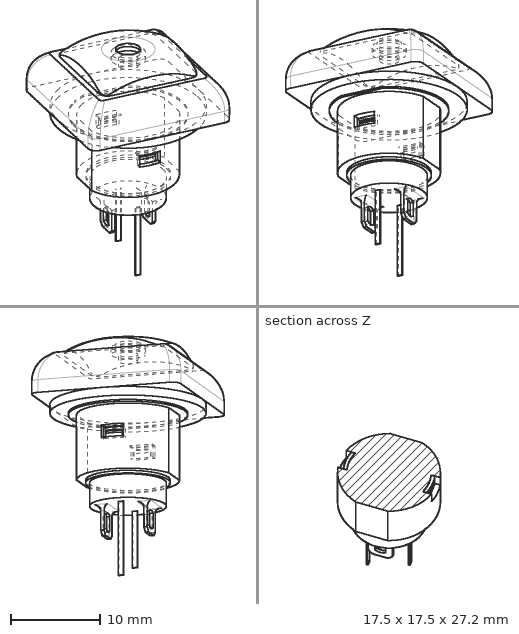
import cadquery as cq
import math


BEZEL_WIDTH = 17.5
FLANGE_DIAMETER = BEZEL_WIDTH
FLANGE_TOP = 1.0
BEZEL_WALL_TOP = 2.5
BEZEL_TOP = 6.0
BEZEL_ARC_RADIUS = 4.0
BEZEL_CORNER_RADIUS = 1.0

BUTTON_WIDTH = 12.0
BUTTON_CORNER_RADIUS = 1.0
BUTTON_TOP = 8.0
CROWN_FLAT_RADIUS = 3.0
CROWN_SIDE_DROP = 0.7
CROWN_RIM_RADIUS = 9.0
CROWN_RIM_DROP = 2.75
LENS_HOLE_DIAMETER = 2.8
LENS_HOLE_DEPTH = 0.4
LENS_CAVITY_DIAMETER = 3.85
LENS_CAVITY_DEPTH = 1.2
LENS_BORE_DIAMETER = 2.2
LENS_BORE_DEPTH = 2.0

GASKET_DIAMETER = 13.4
GASKET_BOTTOM = -0.2
GASKET_KEY_X = -6.15

BARREL_DIAMETER = 11.55
BARREL_FLAT_WIDTH = 10.9
BARREL_BOTTOM = -7.7
COLLAR_DIAMETER = 9.5
COLLAR_BOTTOM = -8.0
BASE_DIAMETER = 8.6
BASE_BOTTOM = -10.7

WINDOW_WIDTH = 2.6
WINDOW_TOP = -2.53
WINDOW_BOTTOM = -3.95
WINDOW_FLOOR_DIAMETER = 10.3
WINDOW_SLOT_BOTTOM = -2.72
WINDOW_SLOT_FLOOR_DIAMETER = 9.5
LATCH_WIDTH = 2.0
LATCH_DIAMETER = 10.2
LATCH_OPENING_DIAMETER = 9.5
LATCH_SLOPE_BOTTOM = -3.37
LATCH_SLOPE_TOP = -3.04

LUG_Y = 2.54
LUG_WIDTH = 2.9
LUG_THICKNESS = 0.4
LUG_BOTTOM = -14.07
LUG_CHAMFER = 0.5
LUG_HOLE_DIAMETER = 2.1
LUG_HOLE_WIDTH = 1.27
LUG_HOLE_Z = -12.4
LUG_ROOT_RADIUS = 0.62

PIN_X = 2.5
PIN_THICKNESS = 0.2
PIN_WIDTH = 0.6
SHORT_PIN_BOTTOM = -17.2
LONG_PIN_BOTTOM = -19.2

OVERLAP = 0.5

TOLERANCE = 0.001


def disc(diameter, bottom, top):
    return cq.Workplane("XY", origin=(0, 0, bottom)).circle(diameter / 2).extrude(top - bottom)


def block(width, depth, bottom, top, x=0):
    plane = cq.Workplane("XY", origin=(x, 0, bottom))
    return plane.rect(width, depth).extrude(top - bottom)


def bezel_arc_point(angle):
    """Inset and height of a point on the bezel arc, measured from the outer wall top."""
    inset = BEZEL_ARC_RADIUS * (1 - math.cos(angle))
    return inset, BEZEL_ARC_RADIUS * math.sin(angle)


def bezel_prism(plane):
    """Bezel cross-section with vertical walls and arched shoulders, as a long bar."""
    half = BEZEL_WIDTH / 2
    top_angle = math.asin((BEZEL_TOP - BEZEL_WALL_TOP) / BEZEL_ARC_RADIUS)
    mid_inset, mid_rise = bezel_arc_point(top_angle / 2)
    top_inset, _ = bezel_arc_point(top_angle)
    mid_z = BEZEL_WALL_TOP + mid_rise
    return (
        cq.Workplane(plane)
        .moveTo(-half, FLANGE_TOP)
        .lineTo(-half, BEZEL_WALL_TOP)
        .threePointArc((mid_inset - half, mid_z), (top_inset - half, BEZEL_TOP))
        .lineTo(half - top_inset, BEZEL_TOP)
        .threePointArc((half - mid_inset, mid_z), (half, BEZEL_WALL_TOP))
        .lineTo(half, FLANGE_TOP)
        .close()
        .extrude(half, both=True)
    )


def is_corner_edge(edge):
    """True for the upright and arched edges where two bezel walls meet."""
    center = edge.Center()
    on_diagonal = math.isclose(abs(center.x), abs(center.y), abs_tol=TOLERANCE)
    return on_diagonal and edge.BoundingBox().zlen > TOLERANCE


def make_bezel():
    bezel = bezel_prism("XZ").intersect(bezel_prism("YZ"))
    return bezel.edges().filter(is_corner_edge).fillet(BEZEL_CORNER_RADIUS)


def make_button():
    body = block(BUTTON_WIDTH, BUTTON_WIDTH, BEZEL_TOP - OVERLAP, BUTTON_TOP)
    body = body.edges("|Z").fillet(BUTTON_CORNER_RADIUS)
    crown = (
        cq.Workplane("XZ")
        .moveTo(0, 0)
        .lineTo(0, BUTTON_TOP)
        .lineTo(CROWN_FLAT_RADIUS, BUTTON_TOP)
        .threePointArc(
            (BUTTON_WIDTH / 2, BUTTON_TOP - CROWN_SIDE_DROP),
            (CROWN_RIM_RADIUS, BUTTON_TOP - CROWN_RIM_DROP),
        )
        .lineTo(CROWN_RIM_RADIUS, 0)
        .close()
        .revolve(360, (0, 0, 0), (0, 1, 0))
    )
    return body.intersect(crown)


def make_lens_hole():
    """Central hole that opens into a wider cavity, with a narrower bore in its floor."""
    cavity_top = BUTTON_TOP - LENS_HOLE_DEPTH
    cavity_bottom = BUTTON_TOP - LENS_CAVITY_DEPTH
    hole = disc(LENS_HOLE_DIAMETER, cavity_top, BUTTON_TOP)
    cavity = disc(LENS_CAVITY_DIAMETER, cavity_bottom, cavity_top)
    bore = disc(LENS_BORE_DIAMETER, BUTTON_TOP - LENS_BORE_DEPTH, cavity_bottom)
    return hole.union(cavity).union(bore)


def make_gasket():
    gasket = disc(GASKET_DIAMETER, GASKET_BOTTOM, OVERLAP)
    keyed_length = GASKET_DIAMETER / 2 - GASKET_KEY_X
    keep = block(
        keyed_length, GASKET_DIAMETER, GASKET_BOTTOM, OVERLAP, x=GASKET_KEY_X + keyed_length / 2
    )
    return gasket.intersect(keep)


def make_barrel():
    barrel = disc(BARREL_DIAMETER, BARREL_BOTTOM, OVERLAP)
    barrel = barrel.intersect(block(BARREL_DIAMETER, BARREL_FLAT_WIDTH, BARREL_BOTTOM, OVERLAP))
    collar = disc(COLLAR_DIAMETER, COLLAR_BOTTOM, BARREL_BOTTOM)
    base = disc(BASE_DIAMETER, BASE_BOTTOM, COLLAR_BOTTOM)
    return barrel.union(collar).union(base)


def window_ring(width, bottom, top, floor_diameter):
    """Opposite pockets of one width, cut inward to a round floor."""
    bar = block(2 * BARREL_DIAMETER, width, bottom, top)
    return bar.cut(disc(floor_diameter, bottom, top))


def make_windows():
    windows = window_ring(WINDOW_WIDTH, WINDOW_BOTTOM, WINDOW_TOP, WINDOW_FLOOR_DIAMETER)
    slot = window_ring(
        WINDOW_WIDTH, WINDOW_SLOT_BOTTOM, WINDOW_TOP, WINDOW_SLOT_FLOOR_DIAMETER
    )
    opening = window_ring(LATCH_WIDTH, WINDOW_BOTTOM, LATCH_SLOPE_TOP, LATCH_OPENING_DIAMETER)
    return windows.union(slot).union(opening)


def make_latches():
    """Snap latches filling the openings in the window floors, sloping back at the top."""
    outer = LATCH_DIAMETER / 2
    inner = LATCH_OPENING_DIAMETER / 2
    profile = (
        cq.Workplane("XZ")
        .moveTo(0, WINDOW_BOTTOM)
        .lineTo(outer, WINDOW_BOTTOM)
        .lineTo(outer, LATCH_SLOPE_BOTTOM)
        .lineTo(inner, LATCH_SLOPE_TOP)
        .lineTo(0, LATCH_SLOPE_TOP)
        .close()
        .revolve(360, (0, 0, 0), (0, 1, 0))
    )
    return profile.intersect(block(LATCH_DIAMETER, LATCH_WIDTH, WINDOW_BOTTOM, LATCH_SLOPE_TOP))


def flare_bar(plane, half_width, length):
    """Bar whose sides curve outward up to the base underside."""
    bottom = BASE_BOTTOM - LUG_ROOT_RADIUS
    bend = math.sqrt(0.5)
    mid_flare = LUG_ROOT_RADIUS * (1 - bend)
    mid_z = bottom + LUG_ROOT_RADIUS * bend
    flared = half_width + LUG_ROOT_RADIUS
    return (
        cq.Workplane(plane)
        .moveTo(-half_width, bottom)
        .lineTo(half_width, bottom)
        .threePointArc((half_width + mid_flare, mid_z), (flared, BASE_BOTTOM))
        .lineTo(-flared, BASE_BOTTOM)
        .threePointArc((-half_width - mid_flare, mid_z), (-half_width, bottom))
        .close()
        .extrude(length, both=True)
    )


def make_lug():
    """Solder lug in the XZ plane, with a flared root and an oval eye."""
    blade = block(LUG_WIDTH, LUG_THICKNESS, LUG_BOTTOM, BASE_BOTTOM)
    blade = blade.faces("<Z").edges("|Y").chamfer(LUG_CHAMFER)
    root = flare_bar("XZ", LUG_WIDTH / 2, LUG_WIDTH)
    root = root.intersect(flare_bar("YZ", LUG_THICKNESS / 2, LUG_WIDTH))
    eye = (
        cq.Workplane("XZ", origin=(0, 0, LUG_HOLE_Z))
        .circle(LUG_HOLE_DIAMETER / 2)
        .extrude(LUG_THICKNESS, both=True)
    )
    eye = eye.intersect(block(LUG_HOLE_WIDTH, LUG_WIDTH, LUG_BOTTOM, BASE_BOTTOM))
    return blade.union(root).cut(eye)


def make_pin(x, bottom):
    return block(PIN_THICKNESS, PIN_WIDTH, bottom, BASE_BOTTOM, x=x)


result = disc(FLANGE_DIAMETER, 0, FLANGE_TOP)
result = result.union(make_bezel()).union(make_button()).cut(make_lens_hole())
result = result.union(make_gasket()).union(make_barrel())

result = result.cut(make_windows()).union(make_latches())
for side in (-1, 1):
    result = result.union(make_lug().translate((0, side * LUG_Y, 0)))
result = result.union(make_pin(-PIN_X, SHORT_PIN_BOTTOM)).union(make_pin(PIN_X, LONG_PIN_BOTTOM))